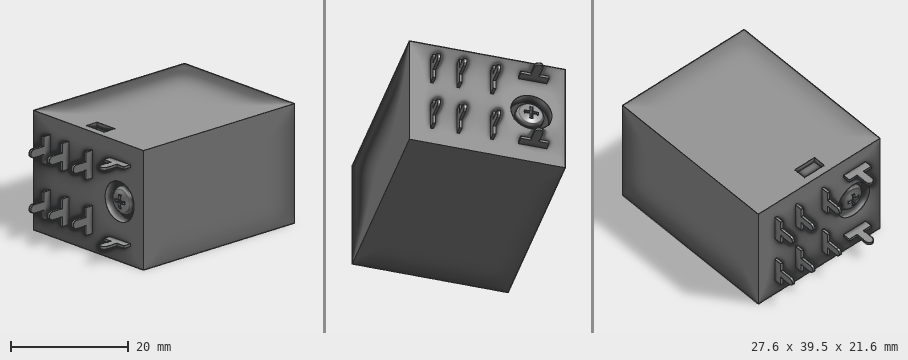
import cadquery as cq

HOUSING_WIDTH = 27.6
HOUSING_HEIGHT = 21.6
OVERALL_LENGTH = 39.45
PIN_LENGTH = 4.5
HOUSING_LENGTH = OVERALL_LENGTH - PIN_LENGTH

WINDOW_WIDTH = 4.4
WINDOW_LENGTH = 2.5
WINDOW_DEPTH = 1.0
WINDOW_SETBACK = 1.42
WINDOW_X = 0.15

PIN_HEAD_WIDTH = 5.0
PIN_HEAD_LENGTH = 1.5
PIN_STEM_WIDTH = 1.5
PIN_THICKNESS = 0.47
UPRIGHT_PIN_X = (-9.82, -5.15, 0.83)
UPRIGHT_PIN_Z = 5.0
FLAT_PIN_X = 8.0
FLAT_PIN_Z = 7.15

SCREW_X = 7.8
RECESS_DIAMETER = 7.25
RECESS_DEPTH = 2.0
SCREW_HEAD_DIAMETER = 5.0
SCREW_CROWN_DIAMETER = 4.2
SCREW_RIM_HEIGHT = 1.0
SCREW_CROWN_HEIGHT = 1.65
SCREW_PROTRUSION = 0.1
SCREW_HEIGHT = RECESS_DEPTH + SCREW_PROTRUSION
SHOULDER_BULGE = 0.08

SOCKET_DIAMETER = 2.9
SOCKET_WAIST_DIAMETER = 1.58
SOCKET_WAIST_DEPTH = 0.6
SOCKET_DEPTH = 1.03
SOCKET_ARM_WIDTH = 0.5


def make_housing():
    """Plain block, front face on Y = 0, with a top window and a screw recess."""
    block = cq.Workplane("XY").box(HOUSING_WIDTH, HOUSING_LENGTH, HOUSING_HEIGHT).translate(
        (0, HOUSING_LENGTH / 2, 0)
    )
    window = cq.Workplane("XY").box(
        WINDOW_WIDTH, WINDOW_LENGTH, WINDOW_DEPTH, centered=(True, False, False)
    ).translate((WINDOW_X, WINDOW_SETBACK, HOUSING_HEIGHT / 2 - WINDOW_DEPTH))
    recess = (
        cq.Workplane("XZ")
        .center(SCREW_X, 0)
        .circle(RECESS_DIAMETER / 2)
        .extrude(-RECESS_DEPTH)
    )
    return block.cut(window).cut(recess)


def make_pin():
    """Flat T-shaped pin lying in the XY plane, pointing to -Y from the front face."""
    half_head = PIN_HEAD_WIDTH / 2
    half_stem = PIN_STEM_WIDTH / 2
    return (
        cq.Workplane("XY")
        .moveTo(-half_head, 0)
        .lineTo(-half_head, -PIN_HEAD_LENGTH)
        .lineTo(-half_stem, -PIN_HEAD_LENGTH)
        .lineTo(-half_stem, half_stem - PIN_LENGTH)
        .threePointArc((0, -PIN_LENGTH), (half_stem, half_stem - PIN_LENGTH))
        .lineTo(half_stem, -PIN_HEAD_LENGTH)
        .lineTo(half_head, -PIN_HEAD_LENGTH)
        .lineTo(half_head, 0)
        .close()
        .extrude(PIN_THICKNESS / 2, both=True)
    )


def make_upright_pin(x, z):
    return make_pin().rotate((0, 0, 0), (0, 1, 0), 90).translate((x, 0, z))


def make_flat_pin(x, z):
    return make_pin().translate((x, 0, z))


def make_cross_socket():
    """Cross-shaped cutter, tapered to a point, with its axis on Y and its mouth at SCREW_HEIGHT."""
    mouth = SOCKET_DIAMETER / 2
    waist = SOCKET_WAIST_DIAMETER / 2
    taper = (
        cq.Workplane("XY")
        .moveTo(0, SCREW_HEIGHT)
        .lineTo(mouth, SCREW_HEIGHT)
        .lineTo(waist, SCREW_HEIGHT - SOCKET_WAIST_DEPTH)
        .lineTo(0, SCREW_HEIGHT - SOCKET_DEPTH)
        .close()
        .revolve(360, (0, 0, 0), (0, 1, 0))
    )
    arm = cq.Workplane("XY").box(SOCKET_DIAMETER, 2 * SOCKET_DEPTH, SOCKET_ARM_WIDTH)
    cross = arm.union(arm.rotate((0, 0, 0), (0, 1, 0), 90))
    return taper.intersect(cross.translate((0, SCREW_HEIGHT, 0)))


def make_screw():
    """Domed screw head, seated on the recess floor and facing -Y."""
    rim = SCREW_HEAD_DIAMETER / 2
    crown = SCREW_CROWN_DIAMETER / 2
    dome_rise = SCREW_HEIGHT - SCREW_CROWN_HEIGHT
    dome_radius = (crown**2 + dome_rise**2) / (2 * dome_rise)
    head = (
        cq.Workplane("XY")
        .lineTo(rim, 0)
        .lineTo(rim, SCREW_RIM_HEIGHT)
        .sagittaArc((crown, SCREW_CROWN_HEIGHT), -SHOULDER_BULGE)
        .radiusArc((0, SCREW_HEIGHT), -dome_radius)
        .close()
        .revolve(360, (0, 0, 0), (0, 1, 0))
    )
    screw = head.cut(make_cross_socket())
    return screw.rotate((0, 0, 0), (0, 0, 1), 180).translate((SCREW_X, RECESS_DEPTH, 0))


housing = make_housing()
screw = make_screw()
pins = []
for side in (-1, 1):
    for pin_x in UPRIGHT_PIN_X:
        pins.append(make_upright_pin(pin_x, side * UPRIGHT_PIN_Z))
    pins.append(make_flat_pin(FLAT_PIN_X, side * FLAT_PIN_Z))

result = cq.Compound.makeCompound([housing.val(), screw.val(), *[pin.val() for pin in pins]])